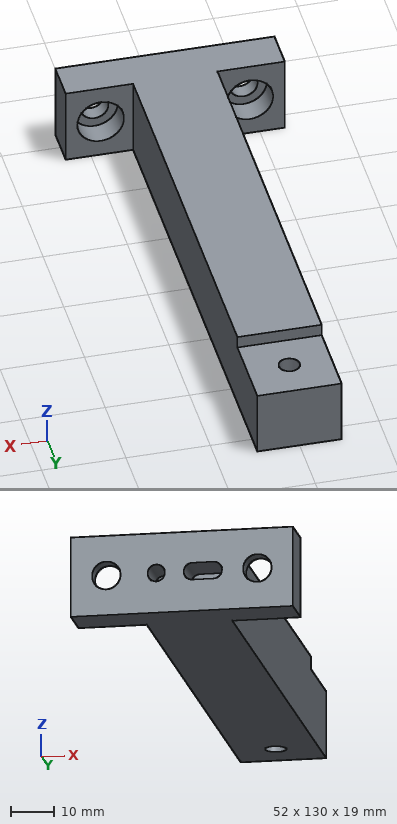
import cadquery as cq

length = 130.0
height = 19.0
foot_width = 52.0
foot_thickness = 10.0
stem_width = 20.0

seat_length = 19.2
seat_drop = 3.0
seat_hole_diameter = 5.0
seat_hole_from_end = 9.9

mount_hole_diameter = 6.6
counterbore_diameter = 11.0
counterbore_depth = 6.0
mount_hole_spacing = 35.4
pin_hole_diameter = 4.0
pin_hole_x = -6.0
slot_x = 5.0
slot_length = 9.0
slot_width = 4.0
blind_depth = foot_thickness

mid_height = height / 2


def foot_face():
    """Workplane on the foot face, X to the right and Z up, facing -Y."""
    return cq.Workplane("XZ", origin=(0, 0, mid_height))


def block(width, y_length):
    """Full-height block centred in X, starting at the foot face."""
    return cq.Workplane("XY").box(width, y_length, height, centered=(True, False, False))


def seat_cut():
    """Step removed from the top of the stem's free end."""
    return (
        cq.Workplane("XY", origin=(0, length - seat_length, height - seat_drop))
        .box(stem_width, seat_length, seat_drop, centered=(True, False, False))
    )


def seat_hole():
    """Vertical hole through the seat."""
    return (
        cq.Workplane("XY", origin=(0, length - seat_hole_from_end, 0))
        .circle(seat_hole_diameter / 2)
        .extrude(height)
    )


def mount_holes():
    """Two holes through the foot, counterbored from the stem side."""
    half_spacing = mount_hole_spacing / 2
    centers = [(-half_spacing, 0), (half_spacing, 0)]
    through_holes = (
        foot_face()
        .pushPoints(centers)
        .circle(mount_hole_diameter / 2)
        .extrude(-foot_thickness)
    )
    counterbores = (
        foot_face()
        .workplane(offset=-foot_thickness)
        .pushPoints(centers)
        .circle(counterbore_diameter / 2)
        .extrude(counterbore_depth)
    )
    return through_holes.union(counterbores)


def locating_hole():
    """Blind round hole for a locating pin."""
    return foot_face().center(pin_hole_x, 0).circle(pin_hole_diameter / 2).extrude(-blind_depth)


def locating_slot():
    """Blind slot beside the locating hole."""
    return foot_face().center(slot_x, 0).slot2D(slot_length, slot_width).extrude(-blind_depth)


body = block(foot_width, foot_thickness).union(block(stem_width, length))
for opening in (seat_cut(), seat_hole(), mount_holes(), locating_hole(), locating_slot()):
    body = body.cut(opening)

result = body